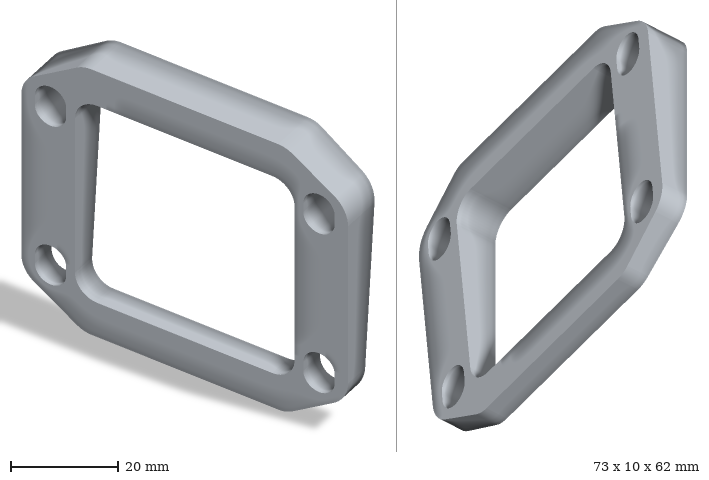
import cadquery as cq

width = 73.0
height = 62.0
top_thickness = 10.0
bottom_thickness = 4.7

top_flat_length = 45.25
side_flat_length = 44.4
outline_radius = 6.0
right_side_radius = 7.0

window_width = 49.05
window_height = 46.0
window_radius = 5.0

slot_width = 7.0
slot_length = 9.05
slot_spacing_x = 60.0
slot_spacing_z = 37.1


def make_wedge():
    """Tapered block with a flat front face on y = 0."""
    profile = [
        (0, -height / 2),
        (bottom_thickness, -height / 2),
        (top_thickness, height / 2),
        (0, height / 2),
    ]
    return cq.Workplane("YZ").polyline(profile).close().extrude(width / 2, both=True)


def make_outline_prism():
    """Eight-sided prism along Y with every lengthwise edge rounded, the two on +X more broadly."""
    half_top = top_flat_length / 2
    half_side = side_flat_length / 2
    vertices = [
        (-half_top, height / 2),
        (half_top, height / 2),
        (width / 2, half_side),
        (width / 2, -half_side),
        (half_top, -height / 2),
        (-half_top, -height / 2),
        (-width / 2, -half_side),
        (-width / 2, half_side),
    ]
    prism = cq.Workplane("XZ").polyline(vertices).close().extrude(-top_thickness)
    prism = prism.edges("|Y and >X").fillet(right_side_radius)
    return prism.edges("|Y and (<X or >Z or <Z)").fillet(outline_radius)


def make_window():
    """Rounded rectangular opening through the full thickness."""
    block = cq.Workplane("XZ").rect(window_width, window_height).extrude(-top_thickness)
    return block.edges("|Y").fillet(window_radius)


def make_slots():
    """Upright through slots, one near each corner."""
    return (
        cq.Workplane("XZ")
        .rect(slot_spacing_x, slot_spacing_z, forConstruction=True)
        .vertices()
        .slot2D(slot_length, slot_width, 90)
        .extrude(-top_thickness)
    )


frame = make_wedge().intersect(make_outline_prism())
result = frame.cut(make_window()).cut(make_slots())